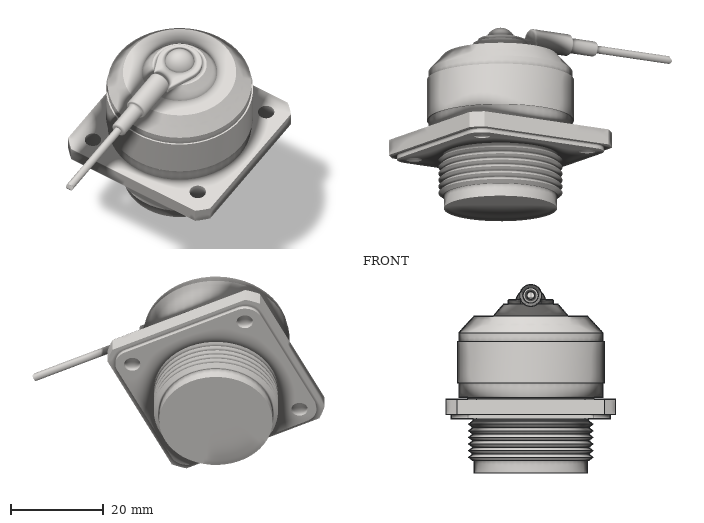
import cadquery as cq
import math

THREAD_BOTTOM = 2.7
THREAD_PITCH = 1.4
THREAD_RIDGES = 6
GASKET_BOTTOM = 11.7
FLANGE_BOTTOM = 12.6
FLANGE_TOP = 16.0
CAP_BOTTOM = 16.35
GRIP_BOTTOM = 19.5
GRIP_TOP = 28.4
CAP_BEVEL_BOTTOM = 30.3
CAP_SHOULDER = 33.85
CAP_TOP = 36.45

FLANGE_SIDE = 36.6
FLANGE_CORNER_DIAMETER = 48.5
HOLE_SPACING = 27.0
HOLE_DIAMETER = 3.5
NECK_DIAMETER = 27.3
THREAD_DIAMETER = 26.8
THREAD_ROOT_DIAMETER = 24.95
TAIL_DIAMETER = 24.45

GASKET_CORNER_RADIUS = 3.65
GASKET_SIDE = HOLE_SPACING + 2 * GASKET_CORNER_RADIUS

CAP_DIAMETER = 31.1
GRIP_DIAMETER = 31.75
CAP_SHOULDER_DIAMETER = 24.45
CONE_BASE_DIAMETER = 16.2
CONE_TOP_DIAMETER = 11.7

LUG_RADIUS = 4.9
LUG_THICKNESS = 1.0
LUG_END_HALF_WIDTH = 2.2
LUG_EDGE_FILLET = 0.3
BARREL_DIAMETER = 4.7
BARREL_FRONT_FILLET = 0.5
BARREL_REAR_FILLET = 0.3
BARREL_START = 7.55
BARREL_END = 17.35
SLEEVE_DIAMETER = 3.3
SLEEVE_END = 24.25
SLEEVE_END_FILLET = 0.5
SLEEVE_ROOT_FILLET = 0.3
WIRE_DIAMETER = 1.7
OVERALL_LENGTH = 61.9
WIRE_TIP = OVERALL_LENGTH - FLANGE_SIDE / 2
WIRE_BREAK_BULGE = 0.2
WIRE_BREAK_NOTCH = 0.3
OVERALL_HEIGHT = 40.65
LANYARD_AXIS = OVERALL_HEIGHT - BARREL_DIAMETER / 2

LUG_TOP = CAP_TOP + LUG_THICKNESS
DOME_DIAMETER = 6.4
DOME_HEIGHT = 2.5
SHANK_DIAMETER = 3.4


def disc(diameter, bottom, top):
    """Upright cylinder on the Z axis between two levels."""
    return cq.Workplane("XY").workplane(offset=bottom).circle(diameter / 2).extrude(top - bottom)


def mounting_holes():
    """Four cutters that pass through the flange and the gasket."""
    return (
        cq.Workplane("XY")
        .workplane(offset=GASKET_BOTTOM)
        .rect(HOLE_SPACING, HOLE_SPACING, forConstruction=True)
        .vertices()
        .circle(HOLE_DIAMETER / 2)
        .extrude(FLANGE_TOP - GASKET_BOTTOM)
    )


def threaded_stem():
    """Tail, sharp circular thread ridges and plain root, up to the flange."""
    root = THREAD_ROOT_DIAMETER / 2
    tail = TAIL_DIAMETER / 2
    outline = [(0, 0), (tail, 0), (tail, THREAD_BOTTOM), (root, THREAD_BOTTOM)]
    for ridge in range(THREAD_RIDGES):
        ridge_bottom = THREAD_BOTTOM + ridge * THREAD_PITCH
        outline.append((THREAD_DIAMETER / 2, ridge_bottom + THREAD_PITCH / 2))
        outline.append((root, ridge_bottom + THREAD_PITCH))
    outline += [(root, FLANGE_BOTTOM), (0, FLANGE_BOTTOM)]
    return cq.Workplane("XZ").polyline(outline).close().revolve(360, (0, 0, 0), (0, 1, 0))


def make_shell():
    """Square flange with turned corners, a neck above it and a threaded stem below."""
    flange = (
        cq.Workplane("XY")
        .workplane(offset=FLANGE_BOTTOM)
        .rect(FLANGE_SIDE, FLANGE_SIDE)
        .extrude(FLANGE_TOP - FLANGE_BOTTOM)
        .intersect(disc(FLANGE_CORNER_DIAMETER, FLANGE_BOTTOM, FLANGE_TOP))
        .cut(mounting_holes())
    )
    neck = disc(NECK_DIAMETER, FLANGE_TOP, CAP_BOTTOM)
    return flange.union(neck).union(threaded_stem())


def make_gasket():
    """Rounded square sheet under the flange, around the stem."""
    return (
        cq.Workplane("XY")
        .workplane(offset=GASKET_BOTTOM)
        .rect(GASKET_SIDE, GASKET_SIDE)
        .extrude(FLANGE_BOTTOM - GASKET_BOTTOM)
        .edges("|Z")
        .fillet(GASKET_CORNER_RADIUS)
        .cut(disc(THREAD_ROOT_DIAMETER, GASKET_BOTTOM, FLANGE_BOTTOM))
        .cut(mounting_holes())
    )


def make_cap():
    """Turned cap with a raised grip band, a bevel and a cone, drilled for the rivet shank."""
    outline = [
        (0, CAP_BOTTOM),
        (CAP_DIAMETER / 2, CAP_BOTTOM),
        (CAP_DIAMETER / 2, GRIP_BOTTOM),
        (GRIP_DIAMETER / 2, GRIP_BOTTOM),
        (GRIP_DIAMETER / 2, GRIP_TOP),
        (CAP_DIAMETER / 2, GRIP_TOP),
        (CAP_DIAMETER / 2, CAP_BEVEL_BOTTOM),
        (CAP_SHOULDER_DIAMETER / 2, CAP_SHOULDER),
        (CONE_BASE_DIAMETER / 2, CAP_SHOULDER),
        (CONE_TOP_DIAMETER / 2, CAP_TOP),
        (0, CAP_TOP),
    ]
    body = cq.Workplane("XZ").polyline(outline).close().revolve(360, (0, 0, 0), (0, 1, 0))
    return body.cut(disc(SHANK_DIAMETER, CAP_SHOULDER, CAP_TOP))


def make_rivet():
    """Domed head on the lug, with a shank through the lug into the cap."""
    dome_radius = ((DOME_DIAMETER / 2) ** 2 + DOME_HEIGHT**2) / (2 * DOME_HEIGHT)
    dome_centre = LUG_TOP + DOME_HEIGHT - dome_radius
    dome = (
        cq.Workplane("XY")
        .sphere(dome_radius)
        .translate((0, 0, dome_centre))
        .intersect(disc(2 * dome_radius, LUG_TOP, LUG_TOP + DOME_HEIGHT))
    )
    return dome.union(disc(SHANK_DIAMETER, CAP_SHOULDER, LUG_TOP))


def lug_plate():
    """Flat ring whose sides run tangent from the round end to the barrel."""
    corner_distance = math.hypot(LUG_END_HALF_WIDTH, BARREL_START)
    corner_angle = math.atan2(-BARREL_START, LUG_END_HALF_WIDTH)
    tangent_angle = corner_angle + math.acos(LUG_RADIUS / corner_distance)
    tangent_x = LUG_RADIUS * math.cos(tangent_angle)
    tangent_y = LUG_RADIUS * math.sin(tangent_angle)
    plate_end = -BARREL_START - BARREL_FRONT_FILLET
    return (
        cq.Workplane("XY")
        .workplane(offset=CAP_TOP)
        .moveTo(LUG_END_HALF_WIDTH, plate_end)
        .lineTo(LUG_END_HALF_WIDTH, -BARREL_START)
        .lineTo(tangent_x, tangent_y)
        .threePointArc((0, LUG_RADIUS), (-tangent_x, tangent_y))
        .lineTo(-LUG_END_HALF_WIDTH, -BARREL_START)
        .lineTo(-LUG_END_HALF_WIDTH, plate_end)
        .close()
        .extrude(LUG_THICKNESS)
        .faces(">Z")
        .edges("not <Y")
        .fillet(LUG_EDGE_FILLET)
        .cut(disc(SHANK_DIAMETER, CAP_TOP, LUG_TOP))
    )


def lanyard_rod(diameter, start, end):
    """Round rod on the lanyard axis, running toward -Y."""
    plane = cq.Plane(origin=(0, -start, LANYARD_AXIS), xDir=(1, 0, 0), normal=(0, -1, 0))
    return cq.Workplane(plane).circle(diameter / 2).extrude(end - start)


def crimp_barrel():
    """Barrel and thinner sleeve with rounded ends and a rounded root between them."""
    barrel_radius = BARREL_DIAMETER / 2
    sleeve_radius = SLEEVE_DIAMETER / 2
    outline = [
        (0, BARREL_START),
        (barrel_radius, BARREL_START),
        (barrel_radius, BARREL_END),
        (sleeve_radius, BARREL_END),
        (sleeve_radius, SLEEVE_END),
        (0, SLEEVE_END),
    ]
    plane = cq.Plane(origin=(0, 0, LANYARD_AXIS), xDir=(1, 0, 0), normal=(0, 0, -1))
    body = cq.Workplane(plane).polyline(outline).close().revolve(360, (0, 0, 0), (0, 1, 0))
    step_circles = body.edges("%CIRCLE").edges(cq.selectors.CenterNthSelector(cq.Vector(0, -1, 0), 1))
    barrel_rim = step_circles.edges(cq.selectors.RadiusNthSelector(1))
    sleeve_root = step_circles.edges(cq.selectors.RadiusNthSelector(0))
    return (
        body.newObject(sleeve_root.vals())
        .fillet(SLEEVE_ROOT_FILLET)
        .newObject(barrel_rim.vals())
        .fillet(BARREL_REAR_FILLET)
        .faces(">Y")
        .edges()
        .fillet(BARREL_FRONT_FILLET)
        .faces("<Y")
        .edges()
        .fillet(SLEEVE_END_FILLET)
    )


def wire():
    """Wire whose free end is broken off along an S curve."""
    radius = WIRE_DIAMETER / 2
    break_line = -WIRE_TIP + WIRE_BREAK_BULGE
    break_curve = [
        (-WIRE_TIP, LANYARD_AXIS - radius / 2),
        (break_line, LANYARD_AXIS),
        (break_line + WIRE_BREAK_NOTCH, LANYARD_AXIS + radius / 2),
        (break_line, LANYARD_AXIS + radius),
    ]
    envelope = (
        cq.Workplane("YZ")
        .moveTo(-SLEEVE_END, LANYARD_AXIS - radius)
        .lineTo(break_line, LANYARD_AXIS - radius)
        .spline(break_curve, includeCurrent=True)
        .lineTo(-SLEEVE_END, LANYARD_AXIS + radius)
        .close()
        .extrude(radius, both=True)
    )
    return lanyard_rod(WIRE_DIAMETER, SLEEVE_END, WIRE_TIP).intersect(envelope)


def make_lanyard():
    """Ring lug, crimp barrel, sleeve and wire in one piece."""
    return lug_plate().union(crimp_barrel()).union(wire())


shell = make_shell()
gasket = make_gasket()
cap = make_cap()
rivet = make_rivet()
lanyard = make_lanyard()

result = cq.Compound.makeCompound([shell.val(), gasket.val(), cap.val(), rivet.val(), lanyard.val()])